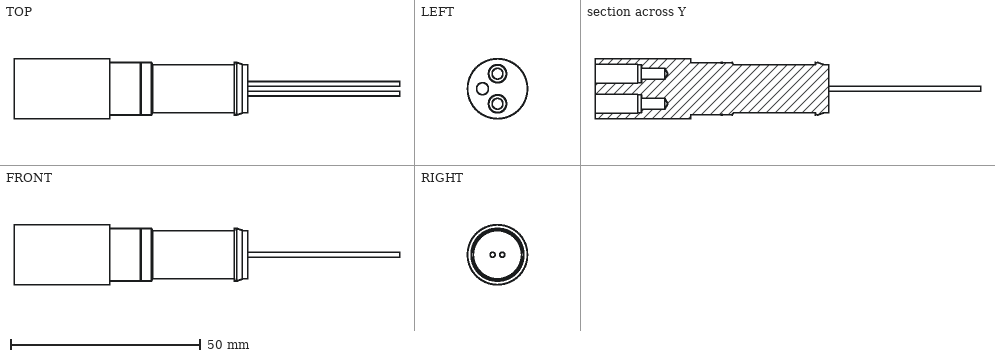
import cadquery as cq

TOTAL_LENGTH = 101.9

HEAD_DIAMETER = 15.9
COLLAR_DIAMETER = 14.0
SLEEVE_DIAMETER = 12.7
HEAD_END = 25.3
COLLAR_END = 36.3
SLEEVE_END = 61.8
COLLAR_CHAMFER_LENGTH = 0.3

GROOVE_START = 33.3
GROOVE_WIDTH = 0.2
GROOVE_DEPTH = 0.1

RIM_START = 58.2
RIM_FLAT_LENGTH = 0.6
RIM_TAPER_LENGTH = 1.5
RIM_TAPER_END_DIAMETER = 12.9

FEATURE_OFFSET = 4.0
SOCKET_DIAMETER = 4.8
SOCKET_DEPTH = 12.2
SOCKET_SEAT_DIAMETER = 4.6
SOCKET_SEAT_DEPTH = 1.0
CONTACT_BORE_DIAMETER = 2.9
CONTACT_BORE_DEPTH = 6.1
DRILL_POINT_LENGTH = 0.8
KEY_HOLE_DIAMETER = 3.2
KEY_HOLE_DEPTH = 12.2

WIRE_DIAMETER = 1.3
WIRE_SPACING = 2.5


def make_body():
    """Revolve the stepped half profile about the X axis."""
    head_radius = HEAD_DIAMETER / 2
    collar_radius = COLLAR_DIAMETER / 2
    sleeve_radius = SLEEVE_DIAMETER / 2
    groove_radius = collar_radius - GROOVE_DEPTH
    groove_end = GROOVE_START + GROOVE_WIDTH
    rim_flat_end = RIM_START + RIM_FLAT_LENGTH
    rim_end = rim_flat_end + RIM_TAPER_LENGTH
    profile = [
        (0, 0),
        (0, head_radius),
        (HEAD_END, head_radius),
        (HEAD_END, collar_radius),
        (GROOVE_START, collar_radius),
        (GROOVE_START, groove_radius),
        (groove_end, groove_radius),
        (groove_end, collar_radius),
        (COLLAR_END, collar_radius),
        (COLLAR_END + COLLAR_CHAMFER_LENGTH, sleeve_radius),
        (RIM_START, sleeve_radius),
        (RIM_START, collar_radius),
        (rim_flat_end, collar_radius),
        (rim_end, RIM_TAPER_END_DIAMETER / 2),
        (rim_end, sleeve_radius),
        (SLEEVE_END, sleeve_radius),
        (SLEEVE_END, 0),
    ]
    return cq.Workplane("XY").polyline(profile).close().revolve(360, (0, 0, 0), (1, 0, 0))


def make_socket(z):
    """Stepped cutter: socket, slightly smaller seat, narrow contact bore and drill point."""
    socket_radius = SOCKET_DIAMETER / 2
    seat_radius = SOCKET_SEAT_DIAMETER / 2
    bore_radius = CONTACT_BORE_DIAMETER / 2
    seat_start = SOCKET_DEPTH - SOCKET_SEAT_DEPTH
    bore_end = SOCKET_DEPTH + CONTACT_BORE_DEPTH
    profile = [
        (0, 0),
        (0, socket_radius),
        (seat_start, socket_radius),
        (seat_start, seat_radius),
        (SOCKET_DEPTH, seat_radius),
        (SOCKET_DEPTH, bore_radius),
        (bore_end, bore_radius),
        (bore_end + DRILL_POINT_LENGTH, 0),
    ]
    cutter = cq.Workplane("XY").polyline(profile).close().revolve(360, (0, 0, 0), (1, 0, 0))
    return cutter.translate((0, 0, z))


def make_rod(start, length, diameter, y):
    """Round rod along X, centred on Z = 0."""
    return cq.Workplane("YZ", origin=(start, y, 0)).circle(diameter / 2).extrude(length)


result = make_body()
for side in (-1, 1):
    result = result.cut(make_socket(side * FEATURE_OFFSET))
result = result.cut(make_rod(0, KEY_HOLE_DEPTH, KEY_HOLE_DIAMETER, FEATURE_OFFSET))
for side in (-1, 1):
    wire_start = SLEEVE_END - WIRE_DIAMETER
    wire = make_rod(wire_start, TOTAL_LENGTH - wire_start, WIRE_DIAMETER, side * WIRE_SPACING / 2)
    result = result.union(wire)